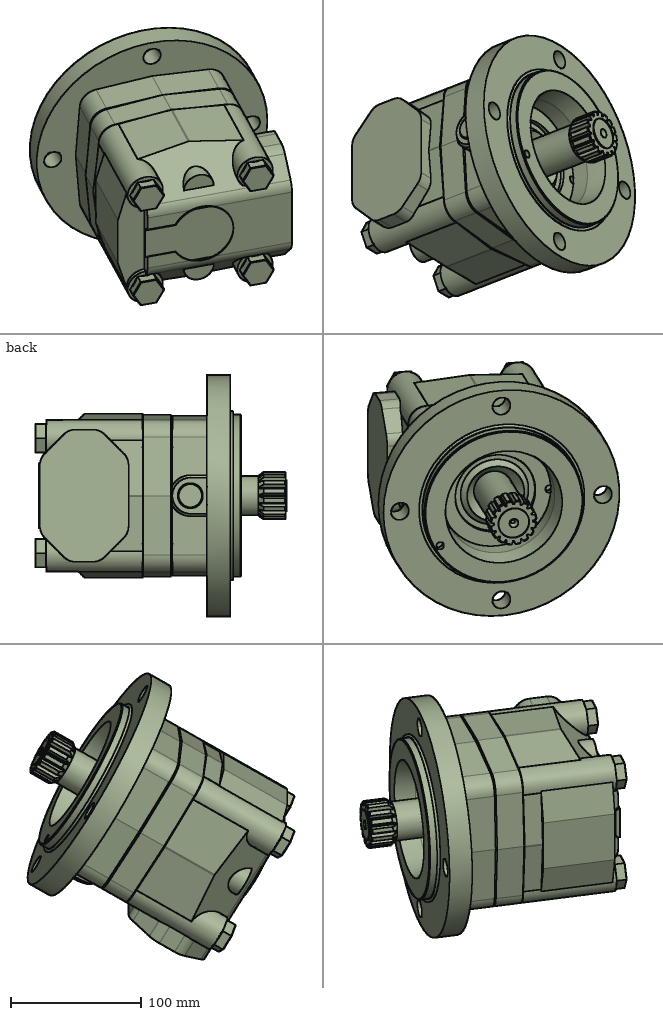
import cadquery as cq
import math


bolt_offset = 44.2
lug_radius = 14.2
shank_dia = 14.2
shaft_dia = 30.4
core_dia = 103.0

shaft_tip_x = -43.5
pilot_front_x = -8.3
flange_back_x = 18.0
housing_end_x = 44.5
gear_front_x = 45.7
gear_end_x = 66.9
cover_front_x = 67.4
cover_core_end_x = 138.2
lug_end_x = 141.4
shank_start_x = 24.5

flange_dia = 186.0
flange_hole_dia = 14.0
flange_hole_circle = 160.0
pilot_dia = 125.0
pilot_chamfer = 0.8
seal_bead_dia = 2.4
seal_bead_circle = 128.0
housing_ridge = 61.6
bore_mouth_dia = 92.0
bore_dia = 87.0
bore_taper_length = 16.0
bore_floor_x = 21.2
seal_recess_dia = 63.2
seal_recess_depth = 3.0
lip_base_dia = 53.5
lip_crest_dia = 45.0
lip_height = 4.0
lip_throat_depth = 5.0
small_hole_dia = 6.0
small_hole_depth = 5.0
pilot_hole_y = 50.2
pilot_hole_z = -27.8
floor_hole_y = -42.3
drain_x = 30.7
drain_top_y = 71.2
drain_radius = 15.8
drain_chamfer = 2.0
plug_dia = 19.4
plug_height = 1.8
plug_chamfer = 0.8

gear_ridge = 62.4
cover_ridge = 63.1
ridge_flat = 0.8
cover_side_z = 42.6
cover_side_y = 58.4
slope_start_x = 112.0
boss_dia = 24.12
boss_start_x = 120.0
pad_start_x = 81.5
pad_face_y = -65.3
pad_edge_y = -58.4
pad_flat_half = 20.2
pad_half = 44.3
port_x = 112.3
port_half_length = 34.1
port_half_height = 50.8
port_corner_cut = 22.1
port_corner_radius = 12.5
port_face_y = 72.5
port_back_y = -44.0
end_disc_dia = 50.0
end_disc_height = 0.9
end_bar_width = 25.0
end_bar_thickness = 3.3
end_bar_overhang = 2.0
end_bar_chamfer = 1.2

head_start_x = 142.0
head_end_x = 150.01
head_flats = 22.0
head_chamfer = 0.5
washer_face_dia = 21.0

spline_dia = 36.7
tooth_count = 16
groove_root_radius = 15.2
groove_root_width = 0.7
groove_mouth_width = 4.6
tip_disc_dia = 24.12
tip_disc_length = 0.8
spline_full_end_x = -25.7
spline_end_x = -21.5
spline_chamfer = 0.8
center_mouth_dia = 7.0
center_dia = 3.15
center_cone_depth = 3.5
center_depth = 10.0

bolt_centers = [(y * bolt_offset, z * bolt_offset) for y in (-1, 1) for z in (-1, 1)]


def plane_x(x):
    """Sketch plane across the shaft axis: local x is Y, local y is Z, extrusion runs along +X."""
    return cq.Workplane("YZ", origin=(x, 0, 0))


def disc(dia, start_x, end_x):
    return plane_x(start_x).circle(dia / 2).extrude(end_x - start_x)


def at_bolts(dia, start_x, end_x):
    return plane_x(start_x).pushPoints(bolt_centers).circle(dia / 2).extrude(end_x - start_x)


def ridged_section(ridge, start_x, end_x):
    """Square prism with rounded corners, each side rising to a shallow ridge at its middle."""
    rise = ridge - bolt_offset
    tilt = math.atan2(rise, bolt_offset) - math.asin(lug_radius / math.hypot(bolt_offset, rise))
    along = bolt_offset + lug_radius * math.sin(tilt)
    out = bolt_offset + lug_radius * math.cos(tilt)
    diagonal = bolt_offset + lug_radius / math.sqrt(2)
    outline = plane_x(start_x).moveTo(0, ridge)
    for quarter in range(4):
        turn = -quarter * math.pi / 2
        tangent_in, middle, tangent_out, next_ridge = [
            (y * math.cos(turn) - z * math.sin(turn), y * math.sin(turn) + z * math.cos(turn))
            for y, z in ((along, out), (diagonal, diagonal), (out, along), (ridge, 0))
        ]
        outline = outline.lineTo(*tangent_in).threePointArc(middle, tangent_out)
        if quarter < 3:
            outline = outline.lineTo(*next_ridge)
    return outline.close().extrude(end_x - start_x)


def revolve_x(points):
    """Revolve a closed (X, radius) outline about the shaft axis."""
    return cq.Workplane("XY").polyline(points).close().revolve(360, (0, 0, 0), (1, 0, 0))


def seal_cavity():
    recess_x = bore_floor_x + seal_recess_depth
    return revolve_x([
        (pilot_front_x, 0),
        (pilot_front_x, bore_mouth_dia / 2),
        (pilot_front_x + bore_taper_length, bore_dia / 2),
        (bore_floor_x, bore_dia / 2),
        (bore_floor_x, seal_recess_dia / 2),
        (recess_x, seal_recess_dia / 2),
        (recess_x, lip_base_dia / 2),
        (recess_x - lip_height, lip_crest_dia / 2),
        (recess_x + lip_throat_depth, shaft_dia / 2),
        (housing_end_x, shaft_dia / 2),
        (housing_end_x, 0),
    ])


def drain_boss():
    radius = drain_radius
    base = cq.Workplane("XZ", origin=(drain_x, pilot_dia / 4, 0))
    height = drain_top_y - pilot_dia / 4
    length = drain_x - flange_back_x
    boss = (
        base.moveTo(-length, radius)
        .lineTo(0, radius)
        .threePointArc((radius, 0), (0, -radius))
        .lineTo(-length, -radius)
        .close()
        .extrude(-height)
        .faces(">Y").edges("not <X").chamfer(drain_chamfer)
    )
    boss = boss.cut(disc(flange_dia, housing_end_x, drain_x + radius))
    plug = (
        cq.Workplane("XZ", origin=(drain_x, drain_top_y, 0))
        .circle(plug_dia / 2)
        .extrude(-plug_height)
        .faces(">Y").chamfer(plug_chamfer)
    )
    return boss.union(plug)


def make_housing():
    flange = (
        disc(flange_dia, 0, flange_back_x)
        .faces("<X").workplane(origin=(0, 0, 0))
        .polarArray(flange_hole_circle / 2, 0, 360, 4)
        .hole(flange_hole_dia)
    )
    pilot = disc(pilot_dia, pilot_front_x, 0).faces("<X").chamfer(pilot_chamfer)
    bead_radius = seal_bead_dia / 2
    bead = (
        cq.Workplane("XY")
        .center(-bead_radius, seal_bead_circle / 2)
        .circle(bead_radius)
        .revolve(360, (0, -seal_bead_circle / 2, 0), (1, -seal_bead_circle / 2, 0))
    )
    bead = bead.union(disc(seal_bead_circle, -bead_radius, 0))
    body = flange.union(pilot).union(bead)
    body = body.union(ridged_section(housing_ridge, flange_back_x, housing_end_x))
    body = body.union(drain_boss())
    body = body.cut(seal_cavity())
    pilot_hole = (
        plane_x(pilot_front_x).center(pilot_hole_y, pilot_hole_z)
        .circle(small_hole_dia / 2).extrude(small_hole_depth)
    )
    floor_hole = (
        plane_x(bore_floor_x).center(floor_hole_y, 0)
        .circle(small_hole_dia / 2).extrude(small_hole_depth)
    )
    body = body.cut(pilot_hole).cut(floor_hole)
    return body.cut(at_bolts(shank_dia, shank_start_x, housing_end_x))


def cover_prism():
    """Ridged prism with 45 degree slopes toward its rear end on +Z and -Z."""
    flat = ridge_flat / 2
    corner = (cover_side_y, cover_side_z)
    quadrant = [
        (flat, cover_ridge), (cover_side_z, cover_side_y), corner, (cover_ridge, flat),
    ]
    points = quadrant + [(y, -z) for y, z in reversed(quadrant)]
    points += [(-y, z) for y, z in reversed(points)]
    prism = plane_x(cover_front_x).polyline(points).close().extrude(cover_core_end_x - cover_front_x)
    drop = cover_core_end_x - slope_start_x
    envelope = (
        cq.Workplane("XZ")
        .polyline([
            (cover_front_x, cover_ridge), (slope_start_x, cover_ridge),
            (cover_core_end_x, cover_ridge - drop), (cover_core_end_x, drop - cover_ridge),
            (slope_start_x, -cover_ridge), (cover_front_x, -cover_ridge),
        ])
        .close()
        .extrude(cover_ridge, both=True)
    )
    return prism.intersect(envelope)


def end_bosses():
    """Round bosses parallel to the shaft, half sunk in the end slopes."""
    height = cover_ridge - (cover_core_end_x - slope_start_x)
    return (
        plane_x(boss_start_x)
        .pushPoints([(0, height), (0, -height)])
        .circle(boss_dia / 2)
        .extrude(cover_core_end_x - boss_start_x)
    )


def side_pad():
    return (
        plane_x(pad_start_x)
        .polyline([
            (-bolt_offset, pad_half), (pad_edge_y, pad_half), (pad_face_y, pad_flat_half),
            (pad_face_y, -pad_flat_half), (pad_edge_y, -pad_half), (-bolt_offset, -pad_half),
        ])
        .close()
        .extrude(cover_core_end_x - pad_start_x)
    )


def port_block():
    """Octagonal block along Y with rounded corners; its +Y end is the port face."""
    long_x = port_half_length - port_corner_cut
    long_z = port_half_height - port_corner_cut
    points = [
        (port_half_length, long_z), (long_x, port_half_height),
        (-long_x, port_half_height), (-port_half_length, long_z),
    ]
    points += [(-x, -z) for x, z in points]
    return (
        cq.Workplane("XZ", origin=(port_x, port_back_y, 0))
        .polyline(points)
        .close()
        .extrude(port_back_y - port_face_y)
        .edges("|Y").fillet(port_corner_radius)
    )


def end_bar():
    """Flat bar across the rear end, from the middle out past the back of the port block."""
    end_x = port_x + port_half_length + end_disc_height
    length = end_bar_overhang - port_back_y
    return (
        cq.Workplane("XY", origin=(end_x - end_bar_thickness / 2, -length / 2, 0))
        .box(end_bar_thickness, length, end_bar_width)
        .edges("|Y and <X").chamfer(end_bar_chamfer)
    )


def make_rear_body():
    port_end_x = port_x + port_half_length
    body = disc(core_dia, housing_end_x, cover_front_x)
    body = body.union(ridged_section(gear_ridge, gear_front_x, gear_end_x))
    body = body.union(cover_prism()).union(end_bosses()).union(side_pad())
    body = body.union(at_bolts(2 * lug_radius, cover_front_x, lug_end_x))
    body = body.union(port_block())
    body = body.union(disc(end_disc_dia, port_end_x, port_end_x + end_disc_height))
    body = body.union(end_bar())
    return body.cut(at_bolts(shank_dia, housing_end_x, lug_end_x))


def spline_groove():
    mouth_radius = spline_dia / 2 + 1
    half_root = groove_root_width / 2
    half_mouth = groove_mouth_width / 2
    return (
        plane_x(shaft_tip_x + tip_disc_length)
        .polyline([
            (-half_root, groove_root_radius), (-half_mouth, mouth_radius),
            (half_mouth, mouth_radius), (half_root, groove_root_radius),
        ])
        .close()
        .extrude(spline_end_x - shaft_tip_x - tip_disc_length)
    )


def make_shaft():
    spline_start_x = shaft_tip_x + tip_disc_length
    shaft = revolve_x([
        (shaft_tip_x, 0),
        (shaft_tip_x, tip_disc_dia / 2),
        (spline_start_x, tip_disc_dia / 2),
        (spline_start_x, spline_dia / 2 - spline_chamfer),
        (spline_start_x + spline_chamfer, spline_dia / 2),
        (spline_full_end_x, spline_dia / 2),
        (spline_end_x, shaft_dia / 2),
        (housing_end_x, shaft_dia / 2),
        (housing_end_x, 0),
    ])
    groove = spline_groove()
    for tooth in range(tooth_count):
        shaft = shaft.cut(groove.rotate((0, 0, 0), (1, 0, 0), tooth * 360 / tooth_count))
    center_hole = revolve_x([
        (shaft_tip_x, 0),
        (shaft_tip_x, center_mouth_dia / 2),
        (shaft_tip_x + center_cone_depth, center_dia / 2),
        (shaft_tip_x + center_depth, center_dia / 2),
        (shaft_tip_x + center_depth, 0),
    ])
    return shaft.cut(center_hole)


def make_bolt(y, z):
    across_corners = head_flats / math.cos(math.pi / 6)
    head = (
        plane_x(head_start_x)
        .polygon(6, across_corners)
        .extrude(head_end_x - head_start_x)
        .faces(">X").chamfer(head_chamfer)
    )
    washer_face = disc(washer_face_dia, lug_end_x, head_start_x)
    shank = disc(shank_dia, shank_start_x, lug_end_x)
    return head.union(washer_face).union(shank).translate((0, y, z))


housing = make_housing()
rear_body = make_rear_body()
shaft = make_shaft()
bolts = [make_bolt(y, z) for y, z in bolt_centers]

result = cq.Compound.makeCompound([
    housing.val(),
    rear_body.val(),
    shaft.val(),
    *[bolt.val() for bolt in bolts],
])